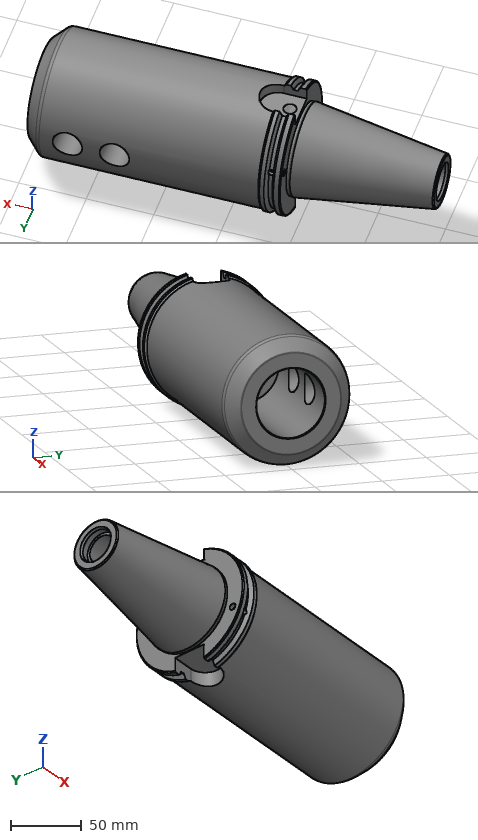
import cadquery as cq
import math

length = 295.5

gauge_x = 101.5
gauge_radius = 69.7 / 2
taper_per_length = 7 / 24
small_end_radius = gauge_radius - gauge_x * taper_per_length / 2
small_end_chamfer = 1.0
neck_radius = 69.0 / 2
neck_chamfer = 1.2

flange_start = 104.5
flange_end = 121.0
flange_radius = 98.0 / 2
flange_front_chamfer = 1.0
groove_x = 112.8
groove_floor_radius = 45.5
groove_floor_half_width = 1.5
groove_side_angle = 30.0
groove_rise = flange_radius - groove_floor_radius
groove_mouth_half_width = groove_floor_half_width + groove_rise * math.tan(math.radians(groove_side_angle))

body_radius = 95.0 / 2
nose_chamfer = 10.3
nose_shoulder_fillet = 3.8
nose_rim_fillet = 1.0
edge_margin = 0.3
flange_back_chamfer = flange_radius - body_radius

slot_width = 26.3
slot_end_x = 135.0
top_slot_floor = 37.8
bottom_slot_floor = 35.2
countersink_diameter = 9.5
countersink_angle = 118.0

through_diameter = 22.0
pilot_diameter = 26.3
pilot_depth = 7.0
pilot_chamfer = 1.0
pilot_chamfer_length = 2.0
shank_bore_diameter = 50.8
shank_mouth_diameter = 52.0
shank_bore_depth = 100.5

screw_diameter = 22.0
screw_positions = (227.5, 262.3)

coolant_angles = (20.0, 200.0)
coolant_circle_radius = 41.7
coolant_diameter = 5.0
coolant_depth = 4.0
channel_diameter = 3.2
channel_offset = 1.0
groove_hole_diameter = 4.0


def x_cylinder(diameter, start, end, y=0.0, z=0.0):
    """Cylinder parallel to X between two X positions."""
    return cq.Workplane(
        cq.Solid.makeCylinder(diameter / 2, end - start, cq.Vector(start, y, z), cq.Vector(1, 0, 0))
    )


def x_cone(start_diameter, end_diameter, start, end):
    """Cone on the X axis between two X positions."""
    return cq.Workplane(
        cq.Solid.makeCone(
            start_diameter / 2, end_diameter / 2, end - start, cq.Vector(start, 0, 0), cq.Vector(1, 0, 0)
        )
    )


def holder_blank():
    """Taper, neck, grooved flange and body turned in one profile."""
    taper_profile = [
        (0, 0),
        (0, small_end_radius - small_end_chamfer),
        (small_end_chamfer, small_end_radius + small_end_chamfer * taper_per_length / 2),
        (gauge_x, gauge_radius),
        (gauge_x + neck_chamfer, neck_radius),
        (flange_start, neck_radius),
    ]
    flange_profile = [
        (flange_start, flange_radius - flange_front_chamfer),
        (flange_start + flange_front_chamfer, flange_radius),
        (groove_x - groove_mouth_half_width, flange_radius),
        (groove_x - groove_floor_half_width, groove_floor_radius),
        (groove_x + groove_floor_half_width, groove_floor_radius),
        (groove_x + groove_mouth_half_width, flange_radius),
        (flange_end - flange_back_chamfer, flange_radius),
        (flange_end, body_radius),
    ]
    nose_profile = [
        (length - nose_chamfer, body_radius),
        (length, body_radius - nose_chamfer),
        (length, 0),
    ]
    profile = cq.Workplane("XY").polyline(taper_profile + flange_profile + nose_profile).close()
    blank = profile.revolve(360, (0, 0, 0), (1, 0, 0))
    blank = blank.faces(">X").edges().fillet(nose_rim_fillet)
    shoulder = cq.selectors.BoxSelector(
        (length - nose_chamfer - edge_margin, -flange_radius, -flange_radius),
        (length - nose_chamfer + edge_margin, flange_radius, flange_radius),
        boundingbox=True,
    )
    return blank.edges(shoulder).fillet(nose_shoulder_fillet)


def drive_slot(floor, side):
    """Round-ended slot cutter; side is +1 for the top and -1 for the bottom."""
    round_center_x = slot_end_x - slot_width / 2
    height = flange_radius - floor
    plan = (
        cq.Workplane("XY", origin=(0, 0, side * floor))
        .moveTo(flange_start, -slot_width / 2)
        .lineTo(round_center_x, -slot_width / 2)
        .threePointArc((slot_end_x, 0), (round_center_x, slot_width / 2))
        .lineTo(flange_start, slot_width / 2)
        .close()
    )
    return plan.extrude(side * height)


def countersink():
    """Conical countersink in the floor of the top slot."""
    radius = countersink_diameter / 2
    depth = radius / math.tan(math.radians(countersink_angle / 2))
    profile = (
        cq.Workplane("XZ", origin=(groove_x, 0, top_slot_floor))
        .polyline([(0, 0), (radius, 0), (0, -depth)])
        .close()
    )
    return profile.revolve(360, (0, 0, 0), (0, 1, 0))


def axial_bores():
    """Through hole, pilot bore at the taper end and shank bore at the nose."""
    shank_start = length - shank_bore_depth
    mouth_chamfer = (shank_mouth_diameter - shank_bore_diameter) / 2
    bores = x_cylinder(through_diameter, 0, length)
    bores = bores.union(x_cylinder(pilot_diameter, 0, pilot_depth))
    bores = bores.union(x_cone(pilot_diameter + 2 * pilot_chamfer, pilot_diameter, 0, pilot_chamfer_length))
    bores = bores.union(x_cylinder(shank_bore_diameter, shank_start, length))
    return bores.union(x_cone(shank_bore_diameter, shank_mouth_diameter, length - mouth_chamfer, length))


def screw_hole(x):
    """Radial hole from the +Y side into the shank bore."""
    return cq.Workplane(
        cq.Solid.makeCylinder(screw_diameter / 2, body_radius, cq.Vector(x, 0, 0), cq.Vector(0, 1, 0))
    )


def coolant_passage(angle):
    """Hole in the flange face, linked by a thin channel to a radial hole in the V-groove."""
    across = math.cos(math.radians(angle))
    up = math.sin(math.radians(angle))
    channel_radius = coolant_circle_radius - channel_offset
    entry = x_cylinder(
        coolant_diameter,
        flange_start,
        flange_start + coolant_depth,
        coolant_circle_radius * across,
        coolant_circle_radius * up,
    )
    channel = x_cylinder(
        channel_diameter, flange_start, groove_x, channel_radius * across, channel_radius * up
    )
    groove_hole = cq.Workplane(
        cq.Solid.makeCylinder(
            groove_hole_diameter / 2,
            flange_radius - channel_radius,
            cq.Vector(groove_x, channel_radius * across, channel_radius * up),
            cq.Vector(0, across, up),
        )
    )
    return entry.union(channel).union(groove_hole)


result = holder_blank()
result = result.cut(drive_slot(top_slot_floor, 1)).cut(drive_slot(bottom_slot_floor, -1))
result = result.cut(countersink())
result = result.cut(axial_bores())
for screw_x in screw_positions:
    result = result.cut(screw_hole(screw_x))
for coolant_angle in coolant_angles:
    result = result.cut(coolant_passage(coolant_angle))